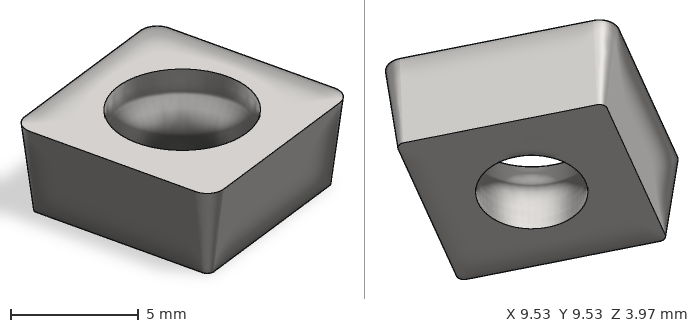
import cadquery as cq
import math

side_length = 9.525
thickness = 3.97
relief_angle = 7.0
corner_radius = 0.8

hole_radius = 4.4 / 2
mouth_radius = 3.07
wall_angle = 5.0
blend_radius = 0.5
throat_radius = 4.0
throat_depth = 3.4


def rounded_square(plane, side, radius):
    """Square wire with rounded corners, centred on the given plane."""
    return cq.Sketch().rect(side, side).vertices().fillet(radius).moved(cq.Location(plane))


def make_body():
    """Rounded square that shrinks evenly towards the bottom face."""
    inset = thickness * math.tan(math.radians(relief_angle))
    top = rounded_square(cq.Plane.XY((0, 0, thickness)), side_length, corner_radius)
    bottom = rounded_square(cq.Plane.XY(), side_length - 2 * inset, corner_radius - inset)
    return cq.Workplane("XY").placeSketch(bottom, top).loft(ruled=True)


def step(start, direction, distance):
    """Point reached by moving a distance along a unit direction."""
    return (start[0] + direction[0] * distance, start[1] + direction[1] * distance)


def direction_between(start, end):
    """Unit direction from one point to another."""
    length = math.dist(start, end)
    return ((end[0] - start[0]) / length, (end[1] - start[1]) / length)


def arc_middle(center, radius, start, end):
    """Middle point of the short arc from start to end."""
    chord_middle = ((start[0] + end[0]) / 2, (start[1] + end[1]) / 2)
    return step(center, direction_between(center, chord_middle), radius)


def make_screw_hole():
    """Revolved hole: tapered wall, blend, convex throat and straight bore."""
    taper = math.radians(wall_angle)
    down_wall = (-math.sin(taper), -math.cos(taper))
    off_wall = (-math.cos(taper), math.sin(taper))

    mouth = (mouth_radius, thickness)
    throat_end = (hole_radius, thickness - throat_depth)
    throat_center = (hole_radius + throat_radius, throat_end[1])

    offset = (throat_center[0] - mouth[0], throat_center[1] - mouth[1])
    throat_along_wall = offset[0] * down_wall[0] + offset[1] * down_wall[1]
    throat_off_wall = offset[0] * off_wall[0] + offset[1] * off_wall[1]
    center_gap = throat_radius + blend_radius
    wall_length = throat_along_wall - math.sqrt(center_gap**2 - (blend_radius - throat_off_wall) ** 2)

    wall_end = step(mouth, down_wall, wall_length)
    blend_center = step(wall_end, off_wall, blend_radius)
    throat_start = step(blend_center, direction_between(blend_center, throat_center), blend_radius)

    return (
        cq.Workplane("XZ")
        .moveTo(0, thickness)
        .lineTo(*mouth)
        .lineTo(*wall_end)
        .threePointArc(arc_middle(blend_center, blend_radius, wall_end, throat_start), throat_start)
        .threePointArc(arc_middle(throat_center, throat_radius, throat_start, throat_end), throat_end)
        .lineTo(hole_radius, 0)
        .lineTo(0, 0)
        .close()
        .revolve(360, (0, 0, 0), (0, 1, 0))
    )


result = make_body().cut(make_screw_hole())